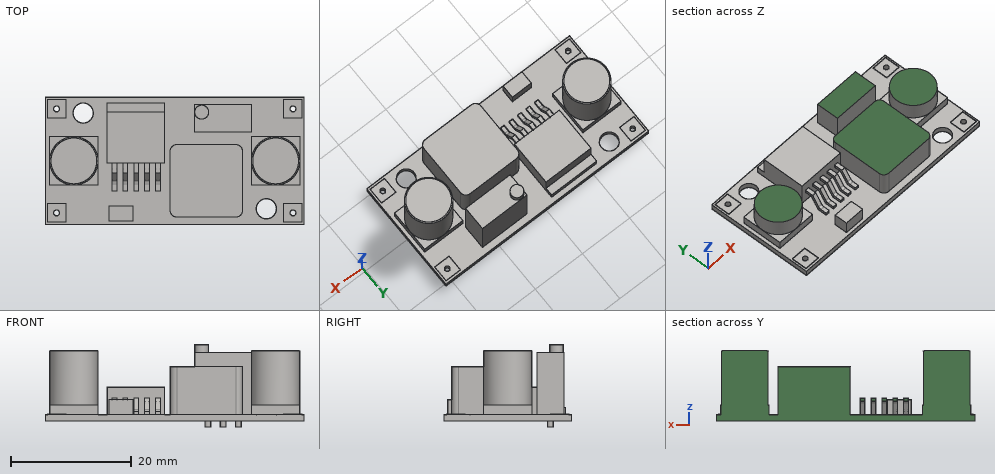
import cadquery as cq
import math


board_length = 43.0
board_width = 21.2
board_thickness = 1.1
mount_hole_diameter = 3.3
mount_hole_x = 15.22
mount_hole_y = 7.95

pad_size = 3.05
pad_height = 0.105
pad_x = 19.6
pad_y = 8.65
pad_hole_x = 19.65
pad_hole_diameter = 0.95

cap_x = 16.75
cap_diameter = 8.05
cap_base_size = 8.1
cap_base_height = 1.55
cap_height = 10.65
cap_rim_drop = 0.15
cap_rim_inset = 0.2

chip_x = -6.45
chip_length = 9.55
chip_height = 4.55
chip_front_y = -0.35
chip_back_y = 8.13
tab_depth = 1.5
tab_height = 1.2
lead_count = 5
lead_pitch = 1.8
lead_row_offset = 0.05
lead_width = 0.77
lead_thickness = 0.5
lead_top = 2.7
lead_bend_y = -1.98
lead_foot_y = -3.5
lead_tip_y = -5.0
lead_bend_radius = 0.65

inductor_size = 12.05
inductor_height = 7.95
inductor_corner_radius = 1.1
inductor_x = 5.25
inductor_y = -3.3

trimmer_length = 9.45
trimmer_depth = 4.5
trimmer_height = 10.3
trimmer_x = 8.05
trimmer_y = 7.1
screw_diameter = 2.32
screw_height = 1.3
screw_gap = 0.1
pin_diameter = 1.0
pin_pitch = 2.55
pin_length = 1.0

block_length = 4.0
block_depth = 2.55
block_height = 2.5
block_x = -8.9
block_y = -8.75


def box_on(base_z, x, y, length, depth, height):
    """Box centred at (x, y) and standing on the level base_z."""
    box = cq.Workplane("XY").box(length, depth, height, centered=(True, True, False))
    return box.translate((x, y, base_z))


def post(base_z, x, y, diameter, height):
    """Upright cylinder centred at (x, y) and standing on the level base_z."""
    return cq.Workplane("XY").circle(diameter / 2).extrude(height).translate((x, y, base_z))


def make_board():
    board = box_on(-board_thickness, 0, 0, board_length, board_width, board_thickness)
    drilled_height = board_thickness + pad_height
    for x_side in (-1, 1):
        for y_side in (-1, 1):
            y = y_side * pad_y
            pad = box_on(0, x_side * pad_x, y, pad_size, pad_size, pad_height)
            hole = post(-board_thickness, x_side * pad_hole_x, y, pad_hole_diameter, drilled_height)
            board = board.union(pad).cut(hole)
    for x, y in [(-mount_hole_x, mount_hole_y), (mount_hole_x, -mount_hole_y)]:
        board = board.cut(post(-board_thickness, x, y, mount_hole_diameter, drilled_height))
    return board


def make_capacitor(x):
    """Round can with a shallow bevelled rim, standing on a square base."""
    base = box_on(0, x, 0, cap_base_size, cap_base_size, cap_base_height)
    radius = cap_diameter / 2
    half_profile = [
        (0, cap_base_height),
        (radius, cap_base_height),
        (radius, cap_height - cap_rim_drop),
        (radius - cap_rim_inset, cap_height),
        (0, cap_height),
    ]
    can = cq.Workplane("XZ").polyline(half_profile).close().revolve(360, (0, 0), (0, 1))
    return base.union(can.translate((x, 0, 0)))


def make_lead(x):
    """Lead of constant thickness leaving the chip, sloping down and ending in a flat foot."""
    underside = lead_top - lead_thickness
    slope_angle = math.atan2(underside, lead_bend_y - lead_foot_y)
    miter = lead_thickness * math.tan(slope_angle / 2)
    upper_inner_corner = (lead_bend_y + miter, underside)
    lower_inner_corner = (lead_foot_y, lead_thickness)
    profile = [
        (chip_front_y, lead_top),
        (lead_bend_y, lead_top),
        lower_inner_corner,
        (lead_tip_y, lead_thickness),
        (lead_tip_y, 0),
        (lead_foot_y + miter, 0),
        upper_inner_corner,
        (chip_front_y, underside),
    ]
    lead = cq.Workplane("YZ").polyline(profile).close().extrude(lead_width / 2, both=True)
    for y, z in (upper_inner_corner, lower_inner_corner):
        corner_edge = cq.selectors.NearestToPointSelector((0, y, z))
        lead = lead.edges("|X").edges(corner_edge).fillet(lead_bend_radius)
    return lead.translate((x, 0, 0))


def make_chip():
    depth = chip_back_y - chip_front_y
    chip = box_on(0, chip_x, chip_front_y + depth / 2, chip_length, depth, chip_height)
    tab = box_on(0, chip_x, chip_back_y + tab_depth / 2, chip_length, tab_depth, tab_height)
    chip = chip.union(tab)
    for i in range(lead_count):
        lead_x = chip_x + lead_row_offset + (i - (lead_count - 1) / 2) * lead_pitch
        chip = chip.union(make_lead(lead_x))
    return chip


def make_inductor():
    core = box_on(0, inductor_x, inductor_y, inductor_size, inductor_size, inductor_height)
    return core.edges("|Z").fillet(inductor_corner_radius)


def make_trimmer():
    trimmer = box_on(0, trimmer_x, trimmer_y, trimmer_length, trimmer_depth, trimmer_height)
    screw_x = trimmer_x - trimmer_length / 2 + screw_diameter / 2
    screw_y = trimmer_y + trimmer_depth / 2 - screw_gap - screw_diameter / 2
    trimmer = trimmer.union(post(trimmer_height, screw_x, screw_y, screw_diameter, screw_height))
    pin_bottom = -board_thickness - pin_length
    for i in (-1, 0, 1):
        pin = post(pin_bottom, trimmer_x + i * pin_pitch, trimmer_y, pin_diameter, -pin_bottom)
        trimmer = trimmer.union(pin)
    return trimmer


result = make_board()
for side in (-1, 1):
    result = result.union(make_capacitor(side * cap_x))
result = result.union(make_chip())
result = result.union(make_inductor())
result = result.union(make_trimmer())
result = result.union(box_on(0, block_x, block_y, block_length, block_depth, block_height))